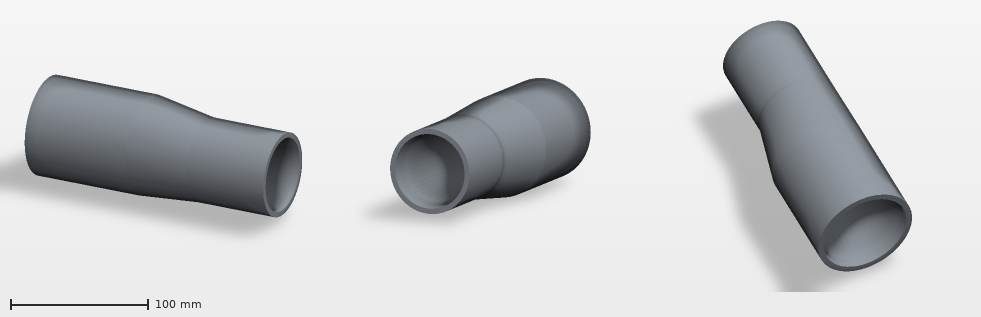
import cadquery as cq

large_outer_diameter = 75.0
large_bore_diameter = 66.0
small_outer_diameter = 63.0
small_bore_diameter = 55.4

total_length = 195.0
large_length = 82.0
taper_length = 50.0
small_length = total_length - large_length - taper_length

taper_start = large_length
taper_end = large_length + taper_length

small_axis_y = -(large_outer_diameter - small_outer_diameter) / 2


def end_plane(x, y):
    """Plane facing +X, with its origin on the pipe axis at (x, y, 0)."""
    return cq.Plane(origin=(x, y, 0), xDir=(0, 1, 0), normal=(1, 0, 0))


def straight_section(x, y, diameter, length):
    return cq.Workplane(end_plane(x, y)).circle(diameter / 2).extrude(length)


def taper_section(large_diameter, small_diameter):
    """Slanted cone joining the large circle to the offset small circle."""
    return (
        cq.Workplane(end_plane(taper_start, 0))
        .circle(large_diameter / 2)
        .workplane(offset=taper_length)
        .center(small_axis_y, 0)
        .circle(small_diameter / 2)
        .loft(ruled=True)
    )


def reducer_solid(large_diameter, small_diameter):
    """Solid reducer: large cylinder, slanted taper and small cylinder."""
    large_end = straight_section(0, 0, large_diameter, large_length)
    taper = taper_section(large_diameter, small_diameter)
    small_end = straight_section(taper_end, small_axis_y, small_diameter, small_length)
    return large_end.union(taper).union(small_end)


outer_body = reducer_solid(large_outer_diameter, small_outer_diameter)
bore = reducer_solid(large_bore_diameter, small_bore_diameter)

result = outer_body.cut(bore)